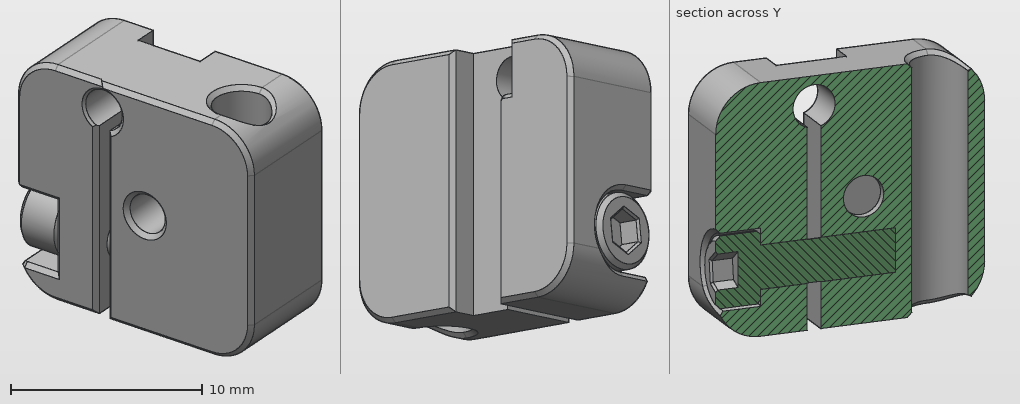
import cadquery as cq
import math


width = 15.24
depth = 6.6
height = 13.98
corner_radius = 2.55
edge_chamfer = 0.26
jaw_recess = 0.12
recess_wall_x = 5.7

slot_width = 0.76
slot_x = 5.58
slot_left = slot_x - slot_width / 2
relief_radius = 1.17
relief_z = 12.28

channel_depth = 1.62
channel_right = 8.38
channel_floor_y = depth - channel_depth
ledge_left = slot_x - relief_radius
ledge_z = relief_z - relief_radius
ledge_round = 0.4

bore_radius = 1.58
bore_x = width - corner_radius
bore_y = 2.67
front_hole_radius = 1.13
front_hole_x = 8.38
front_hole_z = height / 2
front_hole_depth = 3.05

screw_y = 2.32
screw_z = 3.81
head_radius = 2.04
head_length = 2.55
head_chamfer = 0.26
head_back_chamfer = 0.2
shank_radius = 1.25
shank_length = 7.62
hex_flats = 1.98
hex_depth = 1.26
hex_bevel = 0.12
hex_turn = 7.5
pocket_radius = 2.16

pick_margin = 0.08


def box(x0, x1, y0, y1, z0, z1):
    """Box between two corners."""
    return cq.Workplane("XY").box(x1 - x0, y1 - y0, z1 - z0, centered=False).translate((x0, y0, z0))


def x_cylinder(radius, x0, x1):
    """Cylinder on the screw axis."""
    return cq.Workplane("YZ", origin=(x0, screw_y, screw_z)).circle(radius).extrude(x1 - x0)


def rounded_plate(front_y):
    """Plate with four rounded corners, from front_y to the back face."""
    plate = box(0, width, front_y, depth, 0, height)
    return plate.edges("|Y").fillet(corner_radius)


def channel_cut():
    """Full-height channel in the back, widened to the left above a rounded ledge."""
    outline = (
        cq.Workplane("XZ", origin=(0, channel_floor_y, 0))
        .moveTo(slot_left, 0)
        .lineTo(slot_left, ledge_z - ledge_round)
        .radiusArc((slot_left - ledge_round, ledge_z), -ledge_round)
        .lineTo(ledge_left, ledge_z)
        .lineTo(ledge_left, height)
        .lineTo(channel_right, height)
        .lineTo(channel_right, 0)
        .close()
    )
    return outline.extrude(-channel_depth)


def slot_cut():
    """Clamp slot, open at the bottom and ending in the relief bore."""
    return box(slot_left, slot_left + slot_width, 0, depth, 0, relief_z)


def y_hole(radius, x, z, length):
    """Round hole from the main front face, with a chamfered mouth."""
    hole = cq.Workplane("XZ", origin=(x, 0, z)).circle(radius).extrude(-length)
    mouth = cq.Solid.makeCone(
        radius + edge_chamfer, radius, edge_chamfer, pnt=cq.Vector(x, 0, z), dir=cq.Vector(0, 1, 0)
    )
    return hole.union(cq.Workplane(mouth))


def pocket_cut():
    """Pocket for the screw head, open to the left and to the front."""
    open_front = box(0, head_length, 0, screw_y, screw_z - pocket_radius, screw_z + pocket_radius)
    return x_cylinder(pocket_radius, 0, head_length).union(open_front)


def chamfered_block(front_y):
    """Slotted block with its front face at front_y and its front, back and pocket edges chamfered."""
    block = rounded_plate(front_y).cut(slot_cut()).cut(channel_cut()).cut(pocket_cut())
    face_edges = block.faces("<Y or >Y").edges()
    rim_reach = pocket_radius + pick_margin
    pocket_rim = block.edges(
        cq.selectors.BoxSelector(
            (-pick_margin, front_y + pick_margin, screw_z - rim_reach),
            (head_length / 4, screw_y + rim_reach, screw_z + rim_reach),
        )
    )
    return face_edges.add(pocket_rim).chamfer(edge_chamfer)


def main_side():
    """Region right of the slanted recess wall, where the block keeps its full depth."""
    outline = [
        (recess_wall_x, 0),
        (width, 0),
        (width, depth),
        (recess_wall_x - depth, depth),
    ]
    return cq.Workplane("XY").polyline(outline).close().extrude(height)


def cut_vertical_bore(block):
    """Bore through the full height, with both rims chamfered."""
    bored = block.cut(cq.Workplane("XY").center(bore_x, bore_y).circle(bore_radius).extrude(height))
    reach = bore_radius + pick_margin
    around_bore = cq.selectors.BoxSelector(
        (bore_x - reach, bore_y - reach, -pick_margin),
        (bore_x + reach, bore_y + reach, height + pick_margin),
        boundingbox=True,
    )
    return bored.edges(around_bore).edges("not |Z").chamfer(edge_chamfer)


def make_housing():
    """Clamp block: main part and jaw joined at the slanted wall, then bored."""
    main = chamfered_block(0).intersect(main_side())
    jaw = chamfered_block(jaw_recess).cut(main_side())
    housing = cut_vertical_bore(main.union(jaw))
    housing = housing.cut(y_hole(relief_radius, slot_x, relief_z, depth))
    housing = housing.cut(y_hole(front_hole_radius, front_hole_x, front_hole_z, front_hole_depth))
    return housing.cut(x_cylinder(shank_radius, head_length, head_length + shank_length))


def socket_cut():
    """Hexagonal socket in the end of the screw head, with a bevelled mouth."""
    corner_to_flat = 1 / math.cos(math.pi / 6)
    hex_diameter = hex_flats * corner_to_flat
    mouth_diameter = (hex_flats + 2 * hex_bevel) * corner_to_flat
    hexagon = cq.Workplane("YZ").polygon(6, hex_diameter).extrude(hex_depth)
    mouth = cq.Workplane("YZ").polygon(6, mouth_diameter).extrude(hex_bevel, taper=45)
    socket = hexagon.union(mouth).rotate((0, 0, 0), (1, 0, 0), 90 - hex_turn)
    return socket.translate((0, screw_y, screw_z))


def make_screw():
    """Socket head cap screw."""
    head = x_cylinder(head_radius, 0, head_length)
    head = head.faces("<X").chamfer(head_chamfer).faces(">X").chamfer(head_back_chamfer)
    shank = x_cylinder(shank_radius, head_length, head_length + shank_length)
    return head.union(shank).cut(socket_cut())


housing = make_housing()
screw = make_screw()
result = cq.Compound.makeCompound([housing.solids().val(), screw.solids().val()])